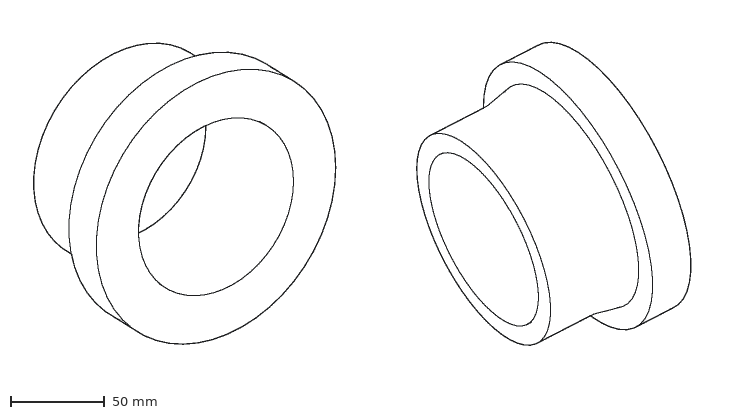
import cadquery as cq

total_length = 80.0
flange_thickness = 25.0
spigot_length = 38.0
bore_diameter = 102.2
spigot_diameter = 125.0
cone_end_diameter = 132.0
flange_diameter = 158.0

bore_radius = bore_diameter / 2
spigot_radius = spigot_diameter / 2
cone_end_radius = cone_end_diameter / 2
flange_radius = flange_diameter / 2
flange_face_x = total_length - flange_thickness


def stub_end():
    """Flanged stub: straight spigot, tapered neck and flange around a through bore."""
    half_section = (
        cq.Workplane("XY")
        .moveTo(0, bore_radius)
        .lineTo(0, spigot_radius)
        .lineTo(spigot_length, spigot_radius)
        .lineTo(flange_face_x, cone_end_radius)
        .lineTo(flange_face_x, flange_radius)
        .lineTo(total_length, flange_radius)
        .lineTo(total_length, bore_radius)
        .close()
    )
    return half_section.revolve(360, (0, 0, 0), (1, 0, 0))


result = stub_end()